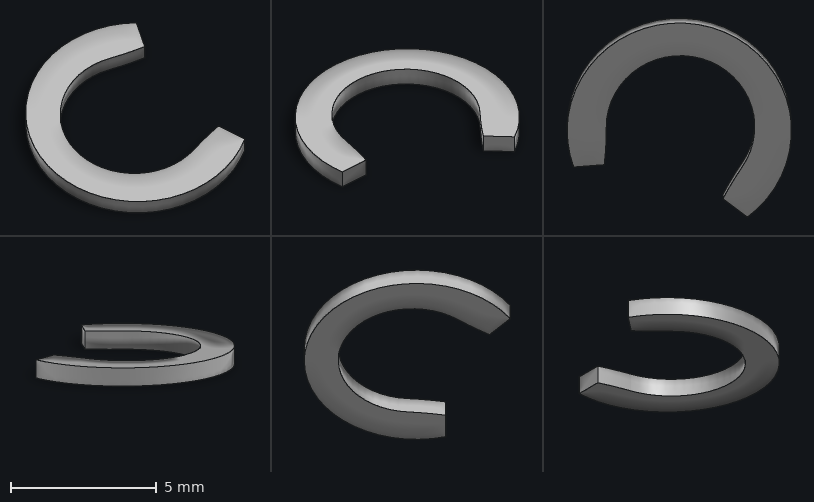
import cadquery as cq
import math

outer_radius = 3.855
inner_radius = 2.545
inner_center_y = -0.15
thickness = 0.65

outer_tip_y = 2.27
outer_tip_x = math.sqrt(outer_radius**2 - outer_tip_y**2)
inner_tip_x = 2.12
inner_tip_y = 1.88

bore_end_angle = math.radians(17)
bore_end_x = inner_radius * math.cos(bore_end_angle)
bore_end_y = inner_center_y + inner_radius * math.sin(bore_end_angle)

radial_x = math.cos(bore_end_angle)
radial_y = math.sin(bore_end_angle)
chord_x = inner_tip_x - bore_end_x
chord_y = inner_tip_y - bore_end_y
tip_curve_radius = (chord_x**2 + chord_y**2) / (2 * (chord_x * radial_x + chord_y * radial_y))
tip_center_x = bore_end_x + tip_curve_radius * radial_x
tip_center_y = bore_end_y + tip_curve_radius * radial_y
chord_middle_x = (bore_end_x + inner_tip_x) / 2
chord_middle_y = (bore_end_y + inner_tip_y) / 2
to_middle = math.hypot(chord_middle_x - tip_center_x, chord_middle_y - tip_center_y)
tip_middle_x = tip_center_x + (chord_middle_x - tip_center_x) * tip_curve_radius / to_middle
tip_middle_y = tip_center_y + (chord_middle_y - tip_center_y) * tip_curve_radius / to_middle

result = (
    cq.Workplane("XY")
    .moveTo(-outer_tip_x, outer_tip_y)
    .threePointArc((0, -outer_radius), (outer_tip_x, outer_tip_y))
    .lineTo(inner_tip_x, inner_tip_y)
    .threePointArc((tip_middle_x, tip_middle_y), (bore_end_x, bore_end_y))
    .threePointArc((0, inner_center_y - inner_radius), (-bore_end_x, bore_end_y))
    .threePointArc((-tip_middle_x, tip_middle_y), (-inner_tip_x, inner_tip_y))
    .close()
    .extrude(thickness)
)